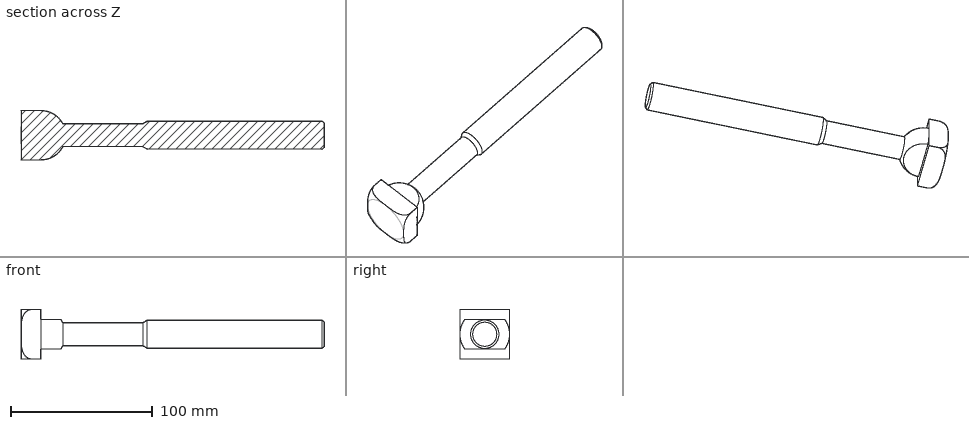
import cadquery as cq

total_length = 214.0

head_width = 35.0
head_thickness = 14.0
face_circle_radius = head_width / 2
corner_rounding_radius = 7.15

ball_radius = head_width / 2
neck_thickness = 21.0

rod_diameter = 16.5
thick_diameter = 20.0
shoulder_start = 86.0
shoulder_length = 3.0
end_chamfer = 1.5


def revolve_about_x(profile):
    """Turn an (axial, radial) profile into a solid around the X axis."""
    return cq.Workplane("XY").polyline(profile).close().revolve(360, (0, 0, 0), (1, 0, 0))


def make_head():
    block = cq.Workplane("YZ").rect(head_width, head_width).extrude(head_thickness)
    disc = (
        cq.Workplane("YZ")
        .circle(face_circle_radius + corner_rounding_radius)
        .extrude(head_thickness)
        .faces("<X")
        .edges()
        .fillet(corner_rounding_radius)
    )
    return block.intersect(disc)


def make_neck():
    ball = cq.Workplane("XY").sphere(ball_radius).translate((head_thickness, 0, 0))
    slab = (
        cq.Workplane("YZ", origin=(head_thickness, 0, 0))
        .rect(2 * ball_radius, neck_thickness)
        .extrude(ball_radius)
    )
    return ball.intersect(slab)


def make_shank():
    rod_radius = rod_diameter / 2
    thick_radius = thick_diameter / 2
    return revolve_about_x([
        (head_thickness, 0),
        (head_thickness, rod_radius),
        (shoulder_start, rod_radius),
        (shoulder_start + shoulder_length, thick_radius),
        (total_length - end_chamfer, thick_radius),
        (total_length, thick_radius - end_chamfer),
        (total_length, 0),
    ])


result = make_head().union(make_neck()).union(make_shank())